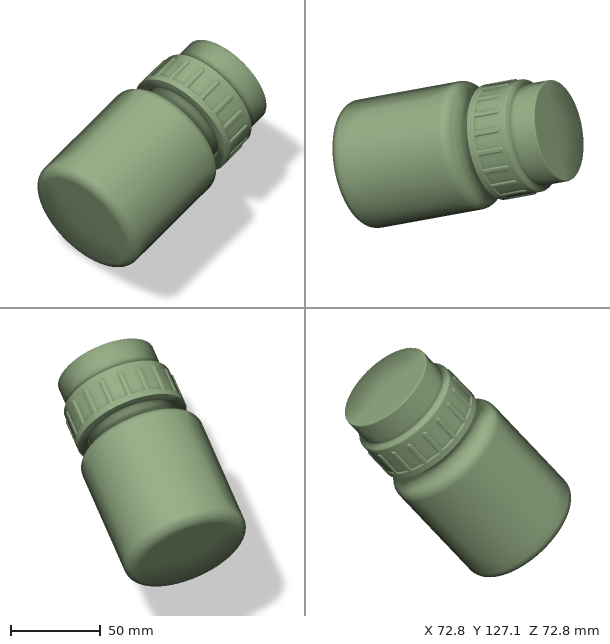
import cadquery as cq
import math

total_length = 127.1

bottle_radius = 72.8 / 2
neck_radius = 50.0 / 2
body_height = 70.4
edge_round = 6.0
shoulder_slope = 28.0
neck_round = 1.0

cap_offset = (0, 0, -0.8)

collar_bottom = 86.3
collar_top = 111.7
bore_radius = 53.4 / 2
lip_radius = 65.5 / 2
lip_height = 4.3
wall_radius = 63.8 / 2
shoulder_drop = 2.0
shoulder_round = 1.3

rib_count = 18
rib_width = 3.0
rib_top = 106.3
rib_round = 0.9

lid_radius = 57.5 / 2
lid_round = 0.8


def cylinder(radius, start, end):
    """A cylinder about the Y axis from Y = start to Y = end."""
    return cq.Workplane("XZ", origin=(0, start, 0)).circle(radius).extrude(start - end)


def circles_near(radius, height):
    """A selector for the edges around the Y axis at Y = height, out to the given radius."""
    margin = 0.1
    reach = radius + margin
    return cq.selectors.BoxSelector(
        (-reach, height - margin, -reach), (reach, height + margin, reach), boundingbox=True
    )


def build_bottle():
    """Bottle with a rounded base, a conical shoulder and a neck that reaches the lid."""
    slope = math.radians(shoulder_slope)
    arc_center_radius = bottle_radius - edge_round
    arc_mid_angle = (math.pi / 2 - slope) / 2
    arc_mid = (
        arc_center_radius + edge_round * math.cos(arc_mid_angle),
        body_height + edge_round * math.sin(arc_mid_angle),
    )
    cone_start = (
        arc_center_radius + edge_round * math.sin(slope),
        body_height + edge_round * math.cos(slope),
    )
    neck_start = cone_start[1] + (cone_start[0] - neck_radius) * math.tan(slope)
    profile = (
        cq.Workplane("XY")
        .lineTo(bottle_radius, 0)
        .lineTo(bottle_radius, body_height)
        .threePointArc(arc_mid, cone_start)
        .lineTo(neck_radius, neck_start)
        .lineTo(neck_radius, collar_top)
        .lineTo(0, collar_top)
        .close()
    )
    bottle = profile.revolve(360, (0, 0, 0), (0, 1, 0))
    bottle = bottle.faces("<Y").edges().fillet(edge_round)
    return bottle.edges(circles_near(neck_radius, neck_start)).fillet(neck_round)


def build_rib():
    """One rib on the +Z side: flush with the lip, with a half-round upper end and rounded edges."""
    end_radius = rib_width / 2
    rib = (
        cq.Workplane("XY")
        .moveTo(-end_radius, collar_bottom)
        .lineTo(end_radius, collar_bottom)
        .lineTo(end_radius, rib_top - end_radius)
        .threePointArc((0, rib_top), (-end_radius, rib_top - end_radius))
        .close()
        .extrude(bottle_radius)
        .intersect(cylinder(lip_radius, collar_bottom, rib_top))
        .cut(cylinder(lid_radius, collar_bottom, rib_top))
    )
    return rib.faces(">Z").edges("not <Y").fillet(rib_round)


def build_collar():
    """Collar with clearance around the neck, a lip at the bottom and grip ribs above it."""
    wall = (
        cq.Workplane("XY")
        .moveTo(0, collar_bottom)
        .lineTo(wall_radius, collar_bottom)
        .lineTo(wall_radius, collar_top - shoulder_drop)
        .lineTo(lid_radius, collar_top)
        .lineTo(0, collar_top)
        .close()
        .revolve(360, (0, 0, 0), (0, 1, 0))
    )
    collar = wall.edges(circles_near(wall_radius, collar_top - shoulder_drop)).fillet(shoulder_round)
    lip = cylinder(lip_radius, collar_bottom, collar_bottom + lip_height)
    collar = collar.union(lip.faces(">Y").edges().fillet(rib_round))
    rib = build_rib()
    for index in range(rib_count):
        turned_rib = rib.rotate((0, 0, 0), (0, 1, 0), index * 360 / rib_count)
        collar = collar.union(turned_rib, clean=False)
    return collar.clean().cut(cylinder(bore_radius, collar_bottom, collar_top)).translate(cap_offset)


def build_lid():
    """Round lid on top of the neck and the collar."""
    lid = cylinder(lid_radius, collar_top, total_length)
    return lid.faces(">Y").edges().fillet(lid_round).translate(cap_offset)


bottle = build_bottle()
collar = build_collar()
lid = build_lid()

result = cq.Compound.makeCompound([bottle.val(), collar.val(), lid.val()])